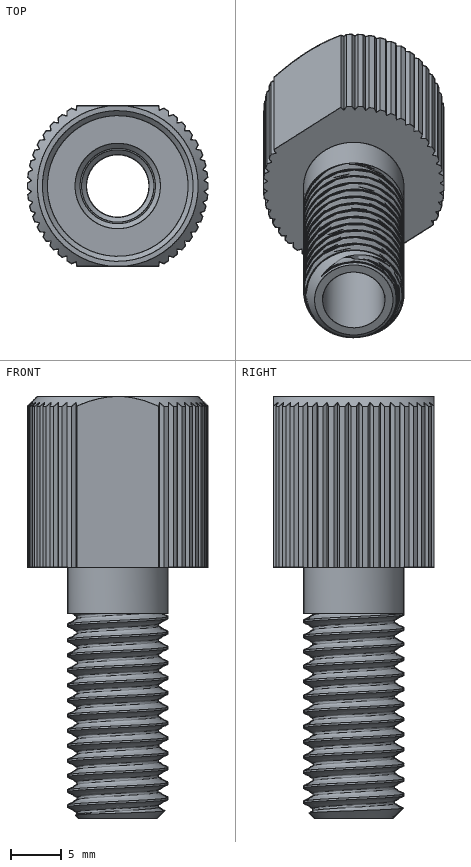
import cadquery as cq
import math

total_height = 42.0
head_height = 17.0
thread_length = 20.4
head_base_z = total_height - head_height

head_diameter = 18.0
across_flats = 16.0
head_chamfer = 1.0
knurl_count = 50
knurl_depth = 0.38
knurl_width = 0.6

thread_diameter = 10.0
thread_pitch = 1.5
thread_depth = 0.92
thread_half_angle = math.radians(30)
crest_width = thread_pitch / 8
crest_phase_z = 0.5
flank_spline_steps = 3
tip_chamfer = 1.1

bore_chamfer = 0.5
socket_diameter = 14.0
socket_depth = 12.0
middle_diameter = 7.5
middle_bottom_z = head_base_z
through_diameter = 6.2

cut_overlap = 0.05


def make_head():
    """Cylindrical head with a chamfered rim, knurl grooves and two flats."""
    head_radius = head_diameter / 2
    head = (
        cq.Workplane("XY", origin=(0, 0, head_base_z))
        .circle(head_radius)
        .extrude(head_height)
        .faces(">Z")
        .chamfer(head_chamfer)
    )
    flats = (
        cq.Workplane("XY", origin=(0, 0, head_base_z))
        .rect(head_diameter, across_flats)
        .extrude(head_height)
    )
    return head.intersect(flats).cut(make_knurl_grooves())


def make_knurl_grooves():
    """V grooves around the head, placed so that a tooth points along +X."""
    head_radius = head_diameter / 2
    root_radius = head_radius - knurl_depth
    outer_radius = head_radius + cut_overlap
    outer_half_width = knurl_width / 2 * (outer_radius - root_radius) / knurl_depth
    groove = (
        cq.Workplane("XY", origin=(0, 0, head_base_z))
        .moveTo(root_radius, 0)
        .lineTo(outer_radius, outer_half_width)
        .lineTo(outer_radius, -outer_half_width)
        .close()
        .extrude(head_height)
        .val()
    )
    step_angle = 360 / knurl_count
    grooves = cq.Workplane("XY")
    for index in range(knurl_count):
        angle = (index + 0.5) * step_angle
        grooves = grooves.add(groove.rotate(cq.Vector(0, 0, 0), cq.Vector(0, 0, 1), angle))
    return cq.Workplane("XY").add(cq.Compound.makeCompound(grooves.vals()))


def make_shank():
    """Plain cylinder between the thread and the head."""
    return (
        cq.Workplane("XY", origin=(0, 0, thread_length))
        .circle(thread_diameter / 2)
        .extrude(head_base_z - thread_length)
    )


def polar_point(radius, angle):
    """Point in the XY plane at a radius and an angle in radians."""
    return (radius * math.cos(angle), radius * math.sin(angle))


def make_threaded_stem():
    """Threaded rod made by twisting its cross-section one turn per pitch.

    Cut square to the axis, a single-start thread shows a crest arc and a root
    arc joined by two spiral flanks, because height along the profile becomes angle.
    """
    crest_radius = thread_diameter / 2
    root_radius = crest_radius - thread_depth
    angle_per_height = 2 * math.pi / thread_pitch
    crest_half_angle = crest_width / 2 * angle_per_height
    flank_angle = thread_depth * math.tan(thread_half_angle) * angle_per_height
    root_start = crest_half_angle + flank_angle
    root_end = 2 * math.pi - root_start

    def falling_flank(t):
        return polar_point(crest_radius - thread_depth * t, crest_half_angle + flank_angle * t)

    def rising_flank(t):
        return polar_point(root_radius + thread_depth * t, root_end + flank_angle * t)

    flank_steps = [step / flank_spline_steps for step in range(1, flank_spline_steps + 1)]
    section = (
        cq.Workplane("XY")
        .moveTo(*polar_point(crest_radius, -crest_half_angle))
        .threePointArc(polar_point(crest_radius, 0), polar_point(crest_radius, crest_half_angle))
        .spline([falling_flank(t) for t in flank_steps], includeCurrent=True)
        .threePointArc(polar_point(root_radius, math.pi), polar_point(root_radius, root_end))
        .spline([rising_flank(t) for t in flank_steps], includeCurrent=True)
        .close()
    )
    twist = 360 * thread_length / thread_pitch
    start_angle = -360 * crest_phase_z / thread_pitch
    stem = section.twistExtrude(thread_length, twist).rotate((0, 0, 0), (0, 0, 1), start_angle)
    return stem.intersect(make_tip_envelope())


def make_tip_envelope():
    """Cone that bevels the tip, widening upward until it clears the thread."""
    tip_radius = thread_diameter / 2 - tip_chamfer
    return cq.Workplane("XY").add(
        cq.Solid.makeCone(tip_radius, tip_radius + thread_length, thread_length)
    )


def make_bore():
    """Stepped hole: wide socket, middle bore and through hole, all chamfered."""
    socket_radius = socket_diameter / 2
    middle_radius = middle_diameter / 2
    through_radius = through_diameter / 2
    socket_floor_z = total_height - socket_depth
    return (
        cq.Workplane("XZ")
        .moveTo(0, 0)
        .lineTo(through_radius, 0)
        .lineTo(through_radius, middle_bottom_z - bore_chamfer)
        .lineTo(through_radius + bore_chamfer, middle_bottom_z)
        .lineTo(middle_radius, middle_bottom_z)
        .lineTo(middle_radius, socket_floor_z - bore_chamfer)
        .lineTo(middle_radius + bore_chamfer, socket_floor_z)
        .lineTo(socket_radius, socket_floor_z)
        .lineTo(socket_radius, total_height - bore_chamfer)
        .lineTo(socket_radius + bore_chamfer, total_height)
        .lineTo(0, total_height)
        .close()
        .revolve(360, (0, 0, 0), (0, 1, 0))
    )


body = make_head().union(make_shank()).union(make_threaded_stem())
result = body.cut(make_bore())